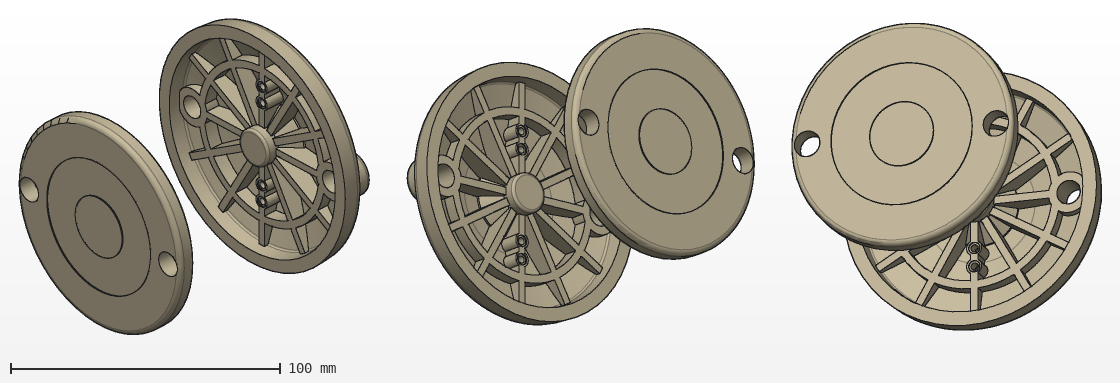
import cadquery as cq
import math

COVER_FACE_Y = 79.4

COVER_RADIUS = 49.5
COVER_HEIGHT = 18.0
SHOULDER_RADIUS = 48.9
SHOULDER_HEIGHT = 8.9
SHOULDER_FILLET = 3.5
DOME_RADIUS = 126.7
DOME_BLEND_RADIUS = 76.2
DOME_THICKNESS = 4.3
RIM_INNER_RADIUS = 44.2
RIM_FLOOR_RADIUS = 43.6
FLOOR_FILLET = 1.0

RIB_DEPTH = 4.9
SPOKE_COUNT = 12
SPOKE_WIDTH = 3.0
SPOKE_END_RADIUS = 44.2
RING_INNER_RADIUS = 30.5
RING_OUTER_RADIUS = 33.7

HUB_RADIUS = 7.7
HUB_FILLET = 1.1
HUB_DEPTH = 0.6
FLARE_RADIUS = 14.6
FLARE_TOP = 6.2
FLARE_BOTTOM = 12.7

HOLE_OFFSET = 36.9
COVER_HOLE_RADIUS = 4.6
SLEEVE_RADIUS = 7.9
BOSS_OFFSET = 37.5
BOSS_RADIUS = 9.0
BOSS_TOP = 16.4
BOSS_FILLET = 2.0

POST_OFFSETS = (17.8, 24.9)
POST_RADIUS = 3.0
POST_HOLE_RADIUS = 1.4
POST_HOLE_DEPTH = 4.95
POST_RECESS_RADIUS = 2.2
POST_RECESS_DEPTH = 0.5

DISC_RADIUS = 43.5
DISC_THICKNESS = 7.2
DISC_FRONT_FILLET = 2.1
DISC_BACK_CHAMFER = 0.8
DISC_HOLE_RADIUS = 4.95
GROOVE_INNER_RADIUS = 12.5
GROOVE_OUTER_RADIUS = 27.6
GROOVE_DEPTH = 0.5

DOME_CENTRE = SHOULDER_HEIGHT - math.sqrt(DOME_RADIUS**2 - SHOULDER_RADIUS**2)
BLEND_CENTRE = COVER_HEIGHT - DOME_BLEND_RADIUS
FLAT_RADIUS = math.sqrt((DOME_RADIUS - DOME_BLEND_RADIUS) ** 2 - (BLEND_CENTRE - DOME_CENTRE) ** 2)
BLEND_START = FLAT_RADIUS * DOME_RADIUS / (DOME_RADIUS - DOME_BLEND_RADIUS)


def dome_height(radius):
    return DOME_CENTRE + math.sqrt(DOME_RADIUS**2 - radius**2)


def blend_height(radius):
    return BLEND_CENTRE + math.sqrt(DOME_BLEND_RADIUS**2 - (radius - FLAT_RADIUS) ** 2)


def cylinder(radius, bottom, top, x=0.0, z=0.0):
    """Cylinder along Y between two Y values."""
    return cq.Workplane("XZ", origin=(x, bottom, z)).circle(radius).extrude(bottom - top)


def domed_body(edge_radius, face_radius, drop):
    """Drafted round body with the dome on top, lowered by drop; stands on Y = 0."""
    dome_middle = (edge_radius + BLEND_START) / 2
    blend_middle = (BLEND_START + FLAT_RADIUS) / 2
    return (
        cq.Workplane("XY")
        .lineTo(face_radius, 0)
        .lineTo(edge_radius, dome_height(edge_radius) - drop)
        .threePointArc(
            (dome_middle, dome_height(dome_middle) - drop),
            (BLEND_START, dome_height(BLEND_START) - drop),
        )
        .threePointArc(
            (blend_middle, blend_height(blend_middle) - drop),
            (FLAT_RADIUS, COVER_HEIGHT - drop),
        )
        .lineTo(0, COVER_HEIGHT - drop)
        .close()
        .revolve(360, (0, 0, 0), (0, 1, 0))
    )


def edge_selector(radius, height):
    """Box that selects only the full circle of this radius at this height."""
    margin = 0.1
    return cq.selectors.BoxSelector(
        (-radius - margin, height - margin, -radius - margin),
        (radius + margin, height + margin, radius + margin),
        boundingbox=True,
    )


def cavity():
    """Space inside the cover, with a rounded corner between wall and floor."""
    corner_height = dome_height(RIM_FLOOR_RADIUS) - DOME_THICKNESS
    room = domed_body(RIM_FLOOR_RADIUS, RIM_INNER_RADIUS, DOME_THICKNESS)
    return room.edges(edge_selector(RIM_FLOOR_RADIUS, corner_height)).fillet(FLOOR_FILLET)


def outer_shell():
    """Outside of the cover, with a rounded shoulder."""
    shell = domed_body(SHOULDER_RADIUS, COVER_RADIUS, 0)
    return shell.edges(edge_selector(SHOULDER_RADIUS, SHOULDER_HEIGHT)).fillet(SHOULDER_FILLET)


def outer_boss():
    """Straight-sided boss with round ends that carries both holes."""
    return (
        cq.Workplane("XZ")
        .slot2D(2 * (BOSS_OFFSET + BOSS_RADIUS), 2 * BOSS_RADIUS)
        .extrude(-BOSS_TOP)
        .faces(">Y")
        .edges()
        .fillet(BOSS_FILLET)
    )


def spokes():
    """Spokes and ring, from the rib plane down past the floor."""
    ribs = cylinder(RING_OUTER_RADIUS, RIB_DEPTH, COVER_HEIGHT).cut(
        cylinder(RING_INNER_RADIUS, RIB_DEPTH, COVER_HEIGHT)
    )
    for index in range(SPOKE_COUNT // 2):
        spoke_pair = (
            cq.Workplane("XZ", origin=(0, RIB_DEPTH, 0))
            .rect(2 * SPOKE_END_RADIUS, SPOKE_WIDTH)
            .extrude(RIB_DEPTH - COVER_HEIGHT)
            .rotate((0, 0, 0), (0, 1, 0), index * 360 / SPOKE_COUNT)
        )
        ribs = ribs.union(spoke_pair)
    return ribs


def hub():
    """Central post with a conical flare around its foot."""
    flare = (
        cq.Workplane("XY")
        .moveTo(0, FLARE_TOP)
        .lineTo(HUB_RADIUS, FLARE_TOP)
        .lineTo(FLARE_RADIUS, FLARE_BOTTOM)
        .lineTo(FLARE_RADIUS, COVER_HEIGHT)
        .lineTo(0, COVER_HEIGHT)
        .close()
        .revolve(360, (0, 0, 0), (0, 1, 0))
    )
    post = cylinder(HUB_RADIUS, HUB_DEPTH, COVER_HEIGHT).faces("<Y").edges().fillet(HUB_FILLET)
    return post.union(flare)


def post_bore(z):
    """Screw hole of a post, with its shallow recess."""
    recess = cylinder(POST_RECESS_RADIUS, RIB_DEPTH, RIB_DEPTH + POST_RECESS_DEPTH, z=z)
    return recess.union(cylinder(POST_HOLE_RADIUS, RIB_DEPTH, RIB_DEPTH + POST_HOLE_DEPTH, z=z))


def make_cover():
    inside = spokes().union(hub())
    for side in (-1, 1):
        inside = inside.union(cylinder(SLEEVE_RADIUS, RIB_DEPTH, COVER_HEIGHT, x=side * HOLE_OFFSET))
        for offset in POST_OFFSETS:
            inside = inside.union(cylinder(POST_RADIUS, RIB_DEPTH, COVER_HEIGHT, z=side * offset))
    room = cavity()
    body = outer_shell().union(outer_boss()).cut(room).union(inside.intersect(room))
    for side in (-1, 1):
        body = body.cut(cylinder(COVER_HOLE_RADIUS, 0, COVER_HEIGHT, x=side * HOLE_OFFSET))
        for offset in POST_OFFSETS:
            body = body.cut(post_bore(side * offset))
    return body.translate((0, COVER_FACE_Y, 0))


def make_disc():
    body = cylinder(DISC_RADIUS, 0, DISC_THICKNESS)
    body = body.faces("<Y").edges().fillet(DISC_FRONT_FILLET)
    body = body.faces(">Y").edges().chamfer(DISC_BACK_CHAMFER)
    groove = cylinder(GROOVE_OUTER_RADIUS, 0, GROOVE_DEPTH).cut(
        cylinder(GROOVE_INNER_RADIUS, 0, GROOVE_DEPTH)
    )
    body = body.cut(groove)
    for side in (-1, 1):
        body = body.cut(cylinder(DISC_HOLE_RADIUS, 0, DISC_THICKNESS, x=side * HOLE_OFFSET))
    return body


cover = make_cover()
disc = make_disc()
result = cq.Compound.makeCompound([cover.val(), disc.val()])